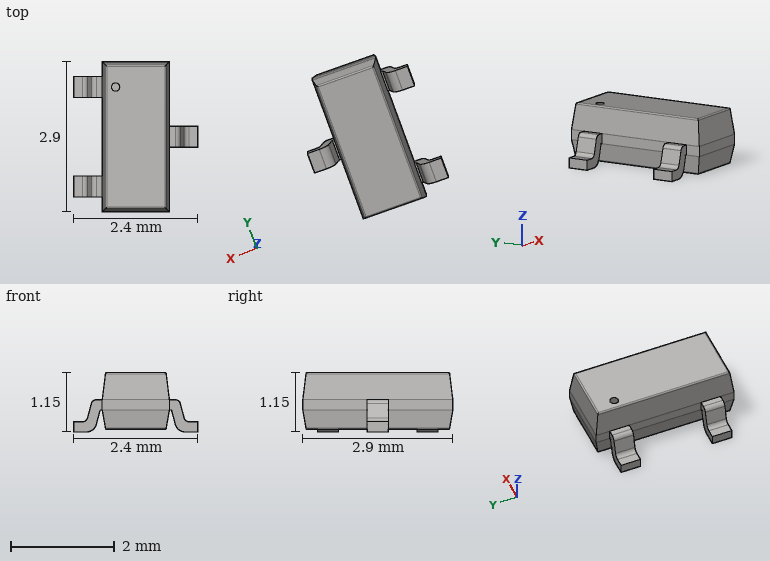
import cadquery as cq
import math

body_width = 1.3
body_length = 2.9
body_bottom = 0.05
body_top = 1.15
upper_draft = 7.0
lower_draft = 10.0
rim_radius = 0.03

mark_diameter = 0.16
mark_depth = 0.2
mark_x = -0.39

lead_span = 2.4
lead_width = 0.41
lead_thickness = 0.2
lead_top = 0.625
lead_pitch = 1.92
lead_lean = 15.0
shoulder_length = 0.19
inside_bend_radius = 0.1
shoulder_radius = 0.1
heel_radius = 0.2

band_top = lead_top
band_bottom = lead_top - lead_thickness


def drafted_block(base_z, height, draft):
    """Block on the full body outline that tapers away from base_z; a negative height goes down."""
    return (
        cq.Workplane("XY")
        .workplane(offset=base_z)
        .rect(body_width, body_length)
        .extrude(height, taper=draft)
    )


def make_body():
    upper = drafted_block(band_top, body_top - band_top, upper_draft).faces(">Z").edges().fillet(rim_radius)
    band = drafted_block(band_bottom, band_top - band_bottom, 0)
    lower = drafted_block(band_bottom, body_bottom - band_bottom, lower_draft)
    lower = lower.faces("<Z").edges().fillet(rim_radius)
    mark = (
        cq.Workplane("XY")
        .workplane(offset=body_top)
        .center(mark_x, lead_pitch / 2)
        .circle(mark_diameter / 2)
        .extrude(-mark_depth)
    )
    return upper.union(band).union(lower).cut(mark)


def make_lead():
    """Lead on the -X side, centred on Y = 0, ending flush against the body band."""
    toe_x = -lead_span / 2
    root_x = -body_width / 2
    shoulder_x = root_x - shoulder_length
    run_per_rise = math.tan(math.radians(lead_lean))
    leg_width = lead_thickness / math.cos(math.radians(lead_lean))

    def outer_leg_point(z):
        return (shoulder_x - (lead_top - z) * run_per_rise, z)

    def inner_leg_point(z):
        return (outer_leg_point(z)[0] + leg_width, z)

    shoulder = outer_leg_point(lead_top)
    instep = outer_leg_point(lead_thickness)
    heel = inner_leg_point(0)
    armpit = inner_leg_point(band_bottom)
    lead = (
        cq.Workplane("XZ")
        .polyline([
            (toe_x, 0), heel, armpit, (root_x, band_bottom),
            (root_x, lead_top), shoulder, instep, (toe_x, lead_thickness),
        ])
        .close()
        .extrude(lead_width / 2, both=True)
    )
    bends = [(shoulder, shoulder_radius), (instep, inside_bend_radius), (heel, heel_radius)]
    for (x, z), radius in bends:
        lead = lead.edges("|Y").edges(cq.NearestToPointSelector((x, 0, z))).fillet(radius)
    return lead


body = make_body()

left_leads = [make_lead().translate((0, side * lead_pitch / 2, 0)) for side in (-1, 1)]
right_lead = make_lead().rotate((0, 0, 0), (0, 0, 1), 180)
leads = left_leads + [right_lead]

result = cq.Compound.makeCompound([body.val(), *[lead.val() for lead in leads]])